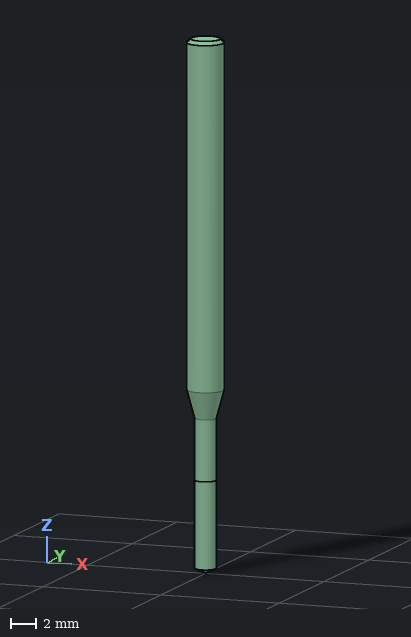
import cadquery as cq
import math

overall_length = 43.0
shank_diameter = 3.0
end_chamfer = 0.3

head_diameter = 1.77
head_length = 7.5
neck_length = 5.0
taper_half_angle = 15.0
point_angle = 130.0

shank_radius = shank_diameter / 2
head_radius = head_diameter / 2
neck_end_height = head_length + neck_length
taper_length = (shank_radius - head_radius) / math.tan(math.radians(taper_half_angle))
taper_top_height = neck_end_height + taper_length
point_height = head_radius / math.tan(math.radians(point_angle / 2))


def make_holder():
    """Chamfered shank, taper and neck turned about Z, resting on top of the cutting head."""
    return (
        cq.Workplane("YZ")
        .moveTo(0, head_length)
        .lineTo(-head_radius, head_length)
        .lineTo(-head_radius, neck_end_height)
        .lineTo(-shank_radius, taper_top_height)
        .lineTo(-shank_radius, overall_length - end_chamfer)
        .lineTo(-shank_radius + end_chamfer, overall_length)
        .lineTo(0, overall_length)
        .close()
        .revolve(360, (0, 0), (0, 1))
    )


def make_cutting_head():
    """Plain cylinder with a conical point whose tip lies at the origin."""
    return (
        cq.Workplane("XZ")
        .moveTo(0, 0)
        .lineTo(-head_radius, point_height)
        .lineTo(-head_radius, head_length)
        .lineTo(0, head_length)
        .close()
        .revolve(360, (0, 0), (0, 1))
    )


holder = make_holder()
cutting_head = make_cutting_head()

result = cq.Compound.makeCompound([holder.val(), cutting_head.val()])